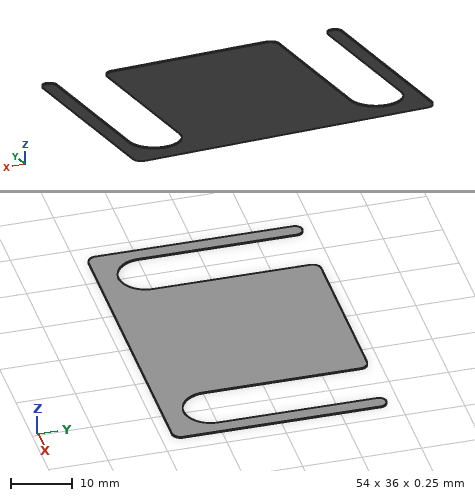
import cadquery as cq

length = 54.0
width = 36.0
thickness = 0.25
corner_radius = 1.5

arm_width = 2.5
slot_width = 9.0
slot_floor = 3.5

slot_radius = slot_width / 2
slot_offset = length / 2 - arm_width - slot_radius
slot_round_y = slot_floor + slot_radius
arm_tip_radius = arm_width / 2
tongue_half_width = slot_offset - slot_radius


def slot_cutter(center_x):
    """Slot with a round bottom, open at the back edge of the plate."""
    left = center_x - slot_radius
    right = center_x + slot_radius
    return (
        cq.Workplane("XY")
        .moveTo(left, width)
        .lineTo(left, slot_round_y)
        .threePointArc((center_x, slot_floor), (right, slot_round_y))
        .lineTo(right, width)
        .close()
        .extrude(thickness)
    )


def arm_tip(center_x):
    """Half-round end of an arm, reaching the back edge of the plate."""
    tip_y = width - arm_tip_radius
    return cq.Workplane("XY").center(center_x, tip_y).circle(arm_tip_radius).extrude(thickness)


def arm_end_block(center_x):
    """Square end of an arm, removed to make way for its round tip."""
    return (
        cq.Workplane("XY")
        .center(center_x, width - arm_tip_radius / 2)
        .rect(arm_width, arm_tip_radius)
        .extrude(thickness)
    )


plate = cq.Workplane("XY").rect(length, width).extrude(thickness).translate((0, width / 2, 0))

plate = plate.edges("|Z and <Y").fillet(corner_radius)

for side in (-1, 1):
    arm_x = side * (length - arm_width) / 2
    plate = plate.cut(slot_cutter(side * slot_offset))
    plate = plate.cut(arm_end_block(arm_x)).union(arm_tip(arm_x))

selection_margin = 0.55
tongue_corners = cq.selectors.BoxSelector(
    (-tongue_half_width - selection_margin, width - selection_margin, -selection_margin),
    (tongue_half_width + selection_margin, width + selection_margin, thickness + selection_margin),
)
result = plate.edges("|Z").edges(tongue_corners).fillet(corner_radius)